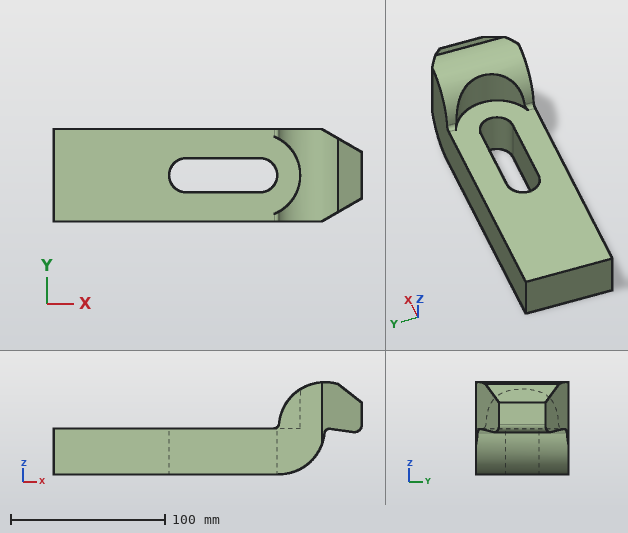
import cadquery as cq
import math

length = 200.0
width = 60.0
height = 60.0
bar_height = height / 2

neck_radius = bar_height
lower_center_x = 146.0
upper_center_x = lower_center_x + neck_radius
diagonal = math.sqrt(0.5) * neck_radius

slope_start_x = 184.5
slope_start_z = bar_height + math.sqrt(neck_radius**2 - (slope_start_x - upper_center_x)**2)
nose_top_z = 46.5
underside_angle = 8.0
nose_bottom_z = bar_height - (length - upper_center_x) * math.tan(math.radians(underside_angle))
taper_start_x = 174.0
taper_angle = 30.0
taper_depth = (length - taper_start_x) * math.tan(math.radians(taper_angle))

inside_radius = 3.0
nose_radius = 5.0

slot_left_x = 75.0
slot_right_x = 145.0
slot_width = 22.0
pocket_radius = 27.0
pocket_right_x = 160.0


def round_edge(body, x, z, radius):
    """Fillet the transverse edge that passes through (x, z)."""
    reach = 0.2
    selector = cq.selectors.BoxSelector(
        (x - reach, -width, z - reach), (x + reach, width, z + reach)
    )
    return body.edges("|Y").edges(selector).fillet(radius)


body = (
    cq.Workplane("XZ")
    .lineTo(lower_center_x, 0)
    .threePointArc(
        (lower_center_x + diagonal, bar_height - diagonal),
        (upper_center_x, bar_height),
    )
    .lineTo(length, nose_bottom_z)
    .lineTo(length, nose_top_z)
    .lineTo(slope_start_x, slope_start_z)
    .threePointArc(
        (upper_center_x - diagonal, bar_height + diagonal),
        (lower_center_x, bar_height),
    )
    .lineTo(0, bar_height)
    .close()
    .extrude(width / 2, both=True)
)
body = round_edge(body, lower_center_x, bar_height, inside_radius)
body = round_edge(body, upper_center_x, bar_height, inside_radius)
body = round_edge(body, length, nose_bottom_z, nose_radius)

for side in (-1, 1):
    corner = (
        cq.Workplane("XY")
        .moveTo(taper_start_x, side * width / 2)
        .lineTo(length, side * (width / 2 - taper_depth))
        .lineTo(length, side * width / 2)
        .close()
        .extrude(height)
    )
    body = body.cut(corner)

slot = (
    cq.Workplane("XY")
    .center((slot_left_x + slot_right_x) / 2, 0)
    .slot2D(slot_right_x - slot_left_x, slot_width)
    .extrude(bar_height)
)

pocket = (
    cq.Workplane("XY", origin=(pocket_right_x - pocket_radius, 0, bar_height))
    .circle(pocket_radius)
    .extrude(height - bar_height)
)

result = body.cut(slot).cut(pocket)